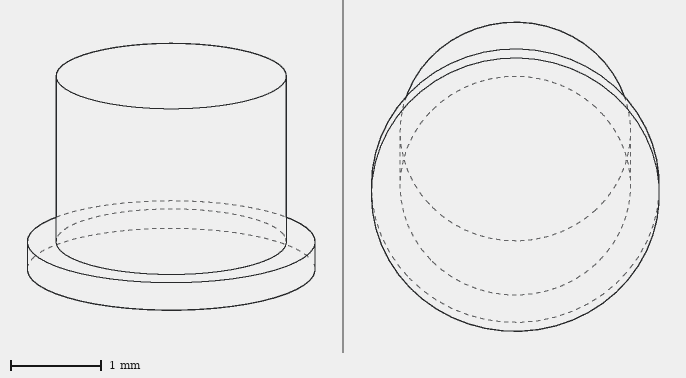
import cadquery as cq

flange_diameter = 3.17
flange_thickness = 0.317
body_diameter = 2.535
total_height = 2.22

body_height = total_height - flange_thickness

flange = cq.Workplane("XY").circle(flange_diameter / 2).extrude(flange_thickness)
result = flange.faces(">Z").workplane().circle(body_diameter / 2).extrude(body_height)